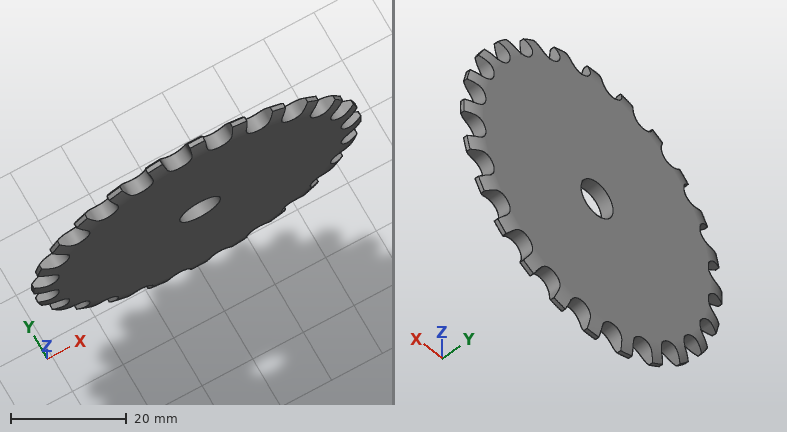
import cadquery as cq
import math

outer_diameter = 64.6
thickness = 2.8
bore_diameter = 8.0

tooth_count = 24
pitch_radius = 30.6
gullet_radius = 2.5

face_radius = 28.5
side_arc_radius = 8.0

outer_radius = outer_diameter / 2
half_thickness = thickness / 2
tooth_angle = 360.0 / tooth_count


def side_drop(radius):
    """Distance the tooth side has fallen below the flat face at a given radius."""
    run = radius - face_radius
    return side_arc_radius - math.sqrt(side_arc_radius**2 - run**2)


def make_blank():
    """Disc about the Y axis whose rim narrows along arcs tangent to both flat faces."""
    mid_radius = (face_radius + outer_radius) / 2
    tip_half = half_thickness - side_drop(outer_radius)
    mid_half = half_thickness - side_drop(mid_radius)
    return (
        cq.Workplane("XY")
        .moveTo(0, -half_thickness)
        .lineTo(face_radius, -half_thickness)
        .threePointArc((mid_radius, -mid_half), (outer_radius, -tip_half))
        .lineTo(outer_radius, tip_half)
        .threePointArc((mid_radius, mid_half), (face_radius, half_thickness))
        .lineTo(0, half_thickness)
        .close()
        .revolve(360, (0, 0, 0), (0, 1, 0))
    )


def make_gullet():
    """Cutter for one tooth gap, half a tooth angle from +Z, with a round bottom.

    Each straight wall is tangent to the round bottom and parallel to the
    centreline of the tooth beside it.
    """
    half_angle = math.radians(tooth_angle / 2)
    wall_length = 2 * (outer_radius - face_radius)
    across = gullet_radius * math.cos(half_angle)
    along = pitch_radius - gullet_radius * math.sin(half_angle)
    end_across = across + wall_length * math.sin(half_angle)
    end_along = along + wall_length * math.cos(half_angle)
    return (
        cq.Workplane("XZ")
        .moveTo(-end_across, end_along)
        .lineTo(-across, along)
        .threePointArc((0, pitch_radius - gullet_radius), (across, along))
        .lineTo(end_across, end_along)
        .close()
        .extrude(half_thickness, both=True)
        .rotate((0, 0, 0), (0, 1, 0), tooth_angle / 2)
    )


result = make_blank()

gullet = make_gullet()
for index in range(tooth_count):
    result = result.cut(gullet.rotate((0, 0, 0), (0, 1, 0), index * tooth_angle))

bore = cq.Workplane("XZ").circle(bore_diameter / 2).extrude(half_thickness, both=True)
result = result.cut(bore)